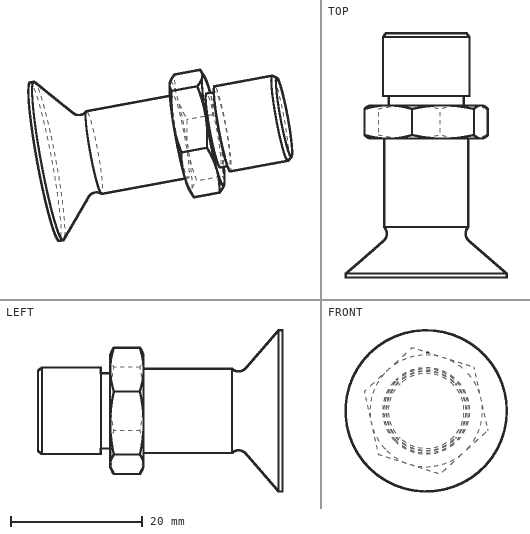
import cadquery as cq
import math

overall_length = 37.09

cup_diameter = 24.49
cup_rim_thickness = 0.6
cup_length = 5.67

neck_length = 2.0
neck_waist_diameter = 12.0

shank_diameter = 12.79
thread_diameter = 13.16
thread_length = 9.55
thread_chamfer_length = 0.63
thread_chamfer_depth = 0.47
relief_diameter = 11.43
relief_length = 1.41

hex_sides = 6
hex_across_flats = 17.0
hex_thickness = 5.05
hex_rotation = -17.5
hex_corner_bevel_length = 0.55
hex_face_diameter = hex_across_flats

neck_start = cup_length
neck_end = neck_start + neck_length
thread_start = overall_length - thread_length
hex_end = thread_start - relief_length
hex_start = hex_end - hex_thickness


def turn(profile):
    """Revolve a closed half profile of (radius, y) about the Y axis."""
    return profile.close().revolve(360, (0, 0, 0), (0, 1, 0))


def make_turned_body():
    """Cup, neck, shank, relief and chamfered thread as one turned solid."""
    cup_radius = cup_diameter / 2
    shank_radius = shank_diameter / 2
    relief_radius = relief_diameter / 2
    thread_radius = thread_diameter / 2
    neck_middle = (neck_start + neck_end) / 2
    profile = (
        cq.Workplane("XY")
        .lineTo(cup_radius, 0)
        .lineTo(cup_radius, cup_rim_thickness)
        .lineTo(shank_radius, neck_start)
        .threePointArc(
            (neck_waist_diameter / 2, neck_middle),
            (shank_radius, neck_end),
        )
        .lineTo(shank_radius, hex_end)
        .lineTo(relief_radius, hex_end)
        .lineTo(relief_radius, thread_start)
        .lineTo(thread_radius, thread_start)
        .lineTo(thread_radius, overall_length - thread_chamfer_length)
        .lineTo(thread_radius - thread_chamfer_depth, overall_length)
        .lineTo(0, overall_length)
    )
    return turn(profile)


def make_hexagon():
    """Hexagon whose corners are bevelled conically at both faces."""
    corner_diameter = hex_across_flats / math.cos(math.pi / hex_sides)
    corner_radius = corner_diameter / 2
    face_radius = hex_face_diameter / 2
    prism = (
        cq.Workplane("XZ", origin=(0, hex_end, 0))
        .transformed(rotate=(0, 0, hex_rotation))
        .polygon(hex_sides, corner_diameter)
        .extrude(hex_thickness)
    )
    bevel_envelope = turn(
        cq.Workplane("XY")
        .moveTo(0, hex_start)
        .lineTo(face_radius, hex_start)
        .lineTo(corner_radius, hex_start + hex_corner_bevel_length)
        .lineTo(corner_radius, hex_end - hex_corner_bevel_length)
        .lineTo(face_radius, hex_end)
        .lineTo(0, hex_end)
    )
    return prism.intersect(bevel_envelope)


result = make_turned_body().union(make_hexagon())